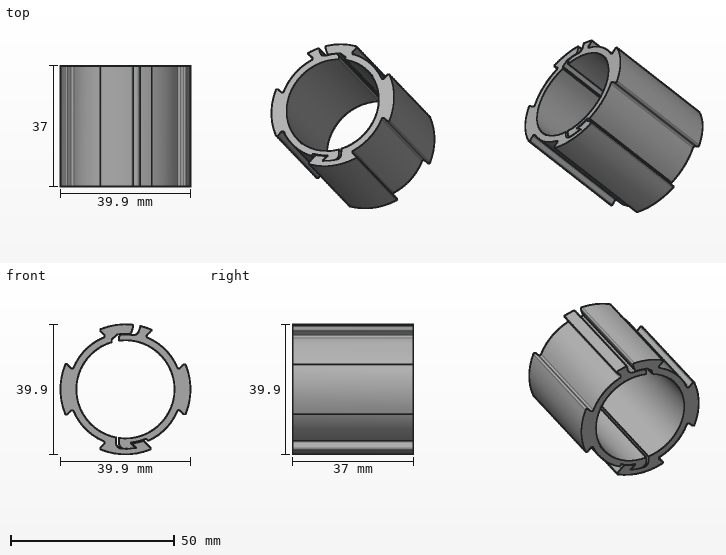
import cadquery as cq
import math

LENGTH = 37.0

BORE_RADIUS = 15.0
WALL_RADIUS = 17.25
OUTER_RADIUS = 19.95

FLANK_OFFSET = 10.16
UPPER_FLANK_OFFSET = 10.02
LUG_TIP_FILLET = 0.4
RIGHT_LUG_TIP_FILLET = 0.5
UPPER_TIP_FILLET = 0.2
GROOVE_FILLET = 0.5

HOOK_UNDERSIDE_RADIUS = 16.95
TONGUE_TOP_RADIUS = 16.8
JOINT_WALL_SLOPE = 0.29
HOOK_END_X = 2.55
FACING_WALL_X = 4.55
HOOK_RECESS_X = -2.45
HOOK_ROOT_X = -4.15
HOOK_ROOT_Z = 15.3
TONGUE_END_X = -2.0
HOOK_TIP_FILLET = 0.5
HOOK_LOWER_FILLET = 0.9
FACING_WALL_FILLET = 1.7
TONGUE_CHAMFER = 0.55
TONGUE_EDGE_FILLET = 0.15

SOCKET_FLOOR_RADIUS = 18.2
SOCKET_WALL_X = -2.86
FOOT_END_X = -2.05
SOCKET_FILLET = 1.85
FOOT_FILLET = 1.8
NOSE_RADIUS = 16.65
ARM_RADIUS = 16.4
CATCH_SUM = -14.65
CATCH_GAP = 0.1
ARM_CORNER_X = 1.72
ARM_STEP_X = 6.3
NOSE_FILLET = 0.7


def on_circle(radius, x, side):
    """Point of a centred circle at x, above (side 1) or below (side -1) the axis."""
    return (x, side * math.sqrt(radius**2 - x**2))


def on_diagonal(radius, offset):
    """Positive (short, long) pair on a centred circle with long - short = offset."""
    short = (math.sqrt(2 * radius**2 - offset**2) - offset) / 2
    return short, short + offset


def arc_to(outline, start, end, turn):
    """Add a centred arc, turning counter-clockwise (turn 1) or clockwise (turn -1)."""
    radius = math.hypot(*end)
    first = math.atan2(start[1], start[0])
    sweep = turn * ((turn * (math.atan2(end[1], end[0]) - first)) % (2 * math.pi))
    middle = first + sweep / 2
    return outline.threePointArc((radius * math.cos(middle), radius * math.sin(middle)), end)


def extruded(steps):
    """Extrude a closed outline along Y, centred on the section plane.

    Each step is (point, turn): turn 0 reaches the point by a straight line, turn 1 or -1 by a
    centred arc. The turn of the first step belongs to the stretch that closes the outline.
    """
    start = steps[0][0]
    outline = cq.Workplane("XZ").moveTo(*start)
    previous = start
    for point, turn in steps[1:] + [steps[0]]:
        if turn:
            outline = arc_to(outline, previous, point, turn)
        elif point != start:
            outline = outline.lineTo(*point)
        previous = point
    return outline.close().extrude(LENGTH / 2, both=True)


def edge_at(body, point):
    """Lengthwise edge that passes through the given section point."""
    x, z = point
    return body.edges("|Y").edges(cq.NearestToPointSelector((x, 0, z)))


def fillet_at(body, radius, points):
    """Round the lengthwise edges that pass through the given section points."""
    for point in points:
        body = edge_at(body, point).fillet(radius)
    return body


def sloped_wall(rim_x, radius):
    """Point at the given radius on a joint wall that leaves the upper rim at rim_x."""
    x, z = on_circle(OUTER_RADIUS, rim_x, 1)
    intercept = x - JOINT_WALL_SLOPE * z
    square_term = 1 + JOINT_WALL_SLOPE**2
    half_linear_term = JOINT_WALL_SLOPE * intercept
    discriminant = half_linear_term**2 - square_term * (intercept**2 - radius**2)
    height = (math.sqrt(discriminant) - half_linear_term) / square_term
    return (JOINT_WALL_SLOPE * height + intercept, height)


def catch_point(radius, total):
    """Lower point at the given radius on the 45 degree catch face x + z = total."""
    half = math.sqrt(2 * radius**2 - total**2) / 2
    return (total / 2 + half, total / 2 - half)


tip_short, tip_long = on_diagonal(OUTER_RADIUS, FLANK_OFFSET)
root_short, root_long = on_diagonal(WALL_RADIUS, FLANK_OFFSET)


def make_left_shell():
    """Shell with the hook at the top and the socket and nose at the bottom."""
    hook_rim = on_circle(OUTER_RADIUS, HOOK_END_X, 1)
    hook_lower = sloped_wall(HOOK_END_X, HOOK_UNDERSIDE_RADIUS)
    socket_top = on_circle(BORE_RADIUS, SOCKET_WALL_X, -1)
    socket_corner = on_circle(SOCKET_FLOOR_RADIUS, SOCKET_WALL_X, -1)
    nose_edge = catch_point(NOSE_RADIUS, CATCH_SUM)
    nose_short, nose_long = on_diagonal(NOSE_RADIUS, FLANK_OFFSET)
    nose_end = (nose_short, -nose_long)
    tips = [
        (-tip_short, tip_long),
        (-tip_long, tip_short),
        (-tip_long, -tip_short),
        (-tip_short, -tip_long),
        (tip_short, -tip_long),
    ]
    roots = [
        (-root_short, root_long),
        (-root_long, root_short),
        (-root_long, -root_short),
        (-root_short, -root_long),
    ]
    body = extruded([
        (hook_rim, 0),
        (tips[0], 1),
        (roots[0], 0),
        (roots[1], 1),
        (tips[1], 0),
        (tips[2], 1),
        (roots[2], 0),
        (roots[3], 1),
        (tips[3], 0),
        (tips[4], 1),
        (nose_end, 0),
        (nose_edge, -1),
        (catch_point(SOCKET_FLOOR_RADIUS, CATCH_SUM), 0),
        (socket_corner, -1),
        (socket_top, 0),
        (on_circle(BORE_RADIUS, HOOK_ROOT_X, 1), -1),
        ((HOOK_ROOT_X, HOOK_ROOT_Z), 0),
        (on_circle(HOOK_UNDERSIDE_RADIUS, HOOK_RECESS_X, 1), 0),
        (hook_lower, -1),
    ])
    body = fillet_at(body, LUG_TIP_FILLET, tips)
    body = fillet_at(body, GROOVE_FILLET, roots)
    body = fillet_at(body, HOOK_TIP_FILLET, [hook_rim])
    body = fillet_at(body, HOOK_LOWER_FILLET, [hook_lower])
    body = fillet_at(body, SOCKET_FILLET, [socket_corner])
    return fillet_at(body, NOSE_FILLET, [nose_end])


def make_right_shell():
    """Shell with the tongue at the top and the foot at the bottom."""
    wall_rim = on_circle(OUTER_RADIUS, FACING_WALL_X, 1)
    wall_foot = sloped_wall(FACING_WALL_X, TONGUE_TOP_RADIUS)
    tongue_top = on_circle(TONGUE_TOP_RADIUS, TONGUE_END_X, 1)
    tongue_low = on_circle(BORE_RADIUS, TONGUE_END_X, 1)
    foot_corner = on_circle(SOCKET_FLOOR_RADIUS, FOOT_END_X, -1)
    step_x, step_z = on_circle(ARM_RADIUS, ARM_STEP_X, -1)
    foot_sum = CATCH_SUM - CATCH_GAP
    arm_corner = on_circle(ARM_RADIUS, ARM_CORNER_X, -1)
    step_short, step_long = on_diagonal(WALL_RADIUS, -step_x - step_z)
    tips = [(tip_long, -tip_short), (tip_long, tip_short)]
    roots = [
        (root_long, -root_short),
        (root_long, root_short),
        on_diagonal(WALL_RADIUS, UPPER_FLANK_OFFSET),
    ]
    upper_tip = on_diagonal(OUTER_RADIUS, UPPER_FLANK_OFFSET)
    body = extruded([
        (wall_rim, 1),
        (wall_foot, 0),
        (tongue_top, 1),
        (tongue_low, 0),
        (on_circle(BORE_RADIUS, FOOT_END_X, -1), -1),
        (foot_corner, 0),
        (catch_point(SOCKET_FLOOR_RADIUS, foot_sum), 1),
        ((ARM_CORNER_X, foot_sum - ARM_CORNER_X), 0),
        (arm_corner, 0),
        ((step_x, step_z), 1),
        ((step_short, -step_long), 0),
        (roots[0], 1),
        (tips[0], 0),
        (tips[1], 1),
        (roots[1], 0),
        (roots[2], 1),
        (upper_tip, 0),
    ])
    body = fillet_at(body, RIGHT_LUG_TIP_FILLET, tips)
    body = fillet_at(body, UPPER_TIP_FILLET, [upper_tip])
    body = fillet_at(body, GROOVE_FILLET, roots)
    body = fillet_at(body, FACING_WALL_FILLET, [wall_foot])
    body = fillet_at(body, FOOT_FILLET, [foot_corner])
    body = fillet_at(body, TONGUE_EDGE_FILLET, [tongue_low])
    return edge_at(body, tongue_top).chamfer(TONGUE_CHAMFER)


left_shell = make_left_shell()
right_shell = make_right_shell()
result = cq.Compound.makeCompound([left_shell.val(), right_shell.val()])